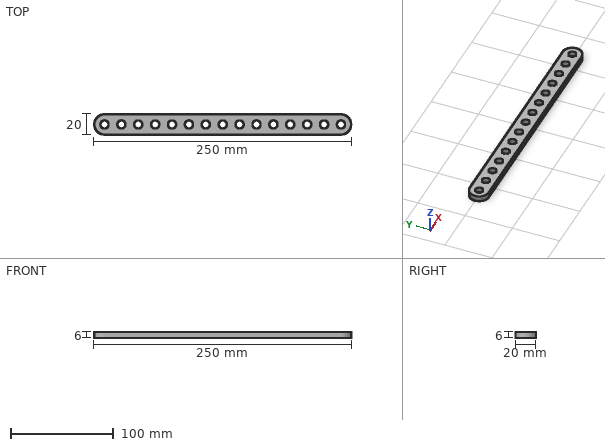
import cadquery as cq

length = 250.0
width = 20.0
thickness = 6.0
hole_diameter = 7.8
hole_count = 15

hole_pitch = (length - width) / (hole_count - 1)

bar = cq.Workplane("XY").slot2D(length, width).extrude(thickness)

result = (
    bar.faces(">Z")
    .workplane()
    .rarray(hole_pitch, 2.5, hole_count, 1)
    .hole(hole_diameter)
)